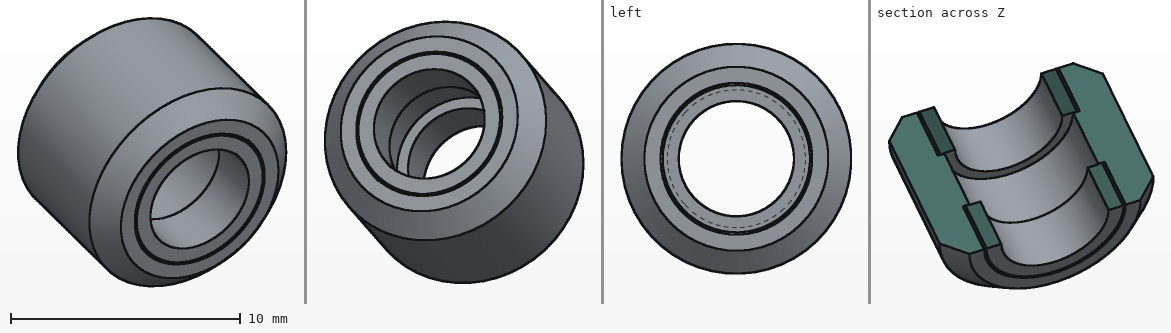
import cadquery as cq

roller_length = 8.0
roller_diameter = 10.0
edge_chamfer = 1.0
middle_bore_diameter = 6.0

bushing_length = 2.5
bushing_bore_diameter = 5.0
bushing_diameter = 6.4

radial_gap = 0.1
pocket_diameter = bushing_diameter + 2 * radial_gap

left_end = -roller_length / 2
right_bushing_start = roller_length / 2 - bushing_length
bushing_starts = (left_end, right_bushing_start)


def cylinder_along_x(diameter, start_x, length):
    """Solid cylinder on the X axis, running from start_x towards +X."""
    return cq.Workplane("YZ", origin=(start_x, 0, 0)).circle(diameter / 2).extrude(length)


def make_roller():
    """Chamfered roller with a through bore and a bushing pocket in each end."""
    body = cylinder_along_x(roller_diameter, left_end, roller_length)
    body = body.edges("%CIRCLE").chamfer(edge_chamfer)
    body = body.cut(cylinder_along_x(middle_bore_diameter, left_end, roller_length))
    for start_x in bushing_starts:
        body = body.cut(cylinder_along_x(pocket_diameter, start_x, bushing_length))
    return body


def make_bushing(start_x):
    """Plain ring running from start_x towards +X."""
    ring = cylinder_along_x(bushing_diameter, start_x, bushing_length)
    return ring.cut(cylinder_along_x(bushing_bore_diameter, start_x, bushing_length))


roller = make_roller()
bushings = [make_bushing(start_x) for start_x in bushing_starts]

result = cq.Compound.makeCompound([roller.val(), *[bushing.val() for bushing in bushings]])